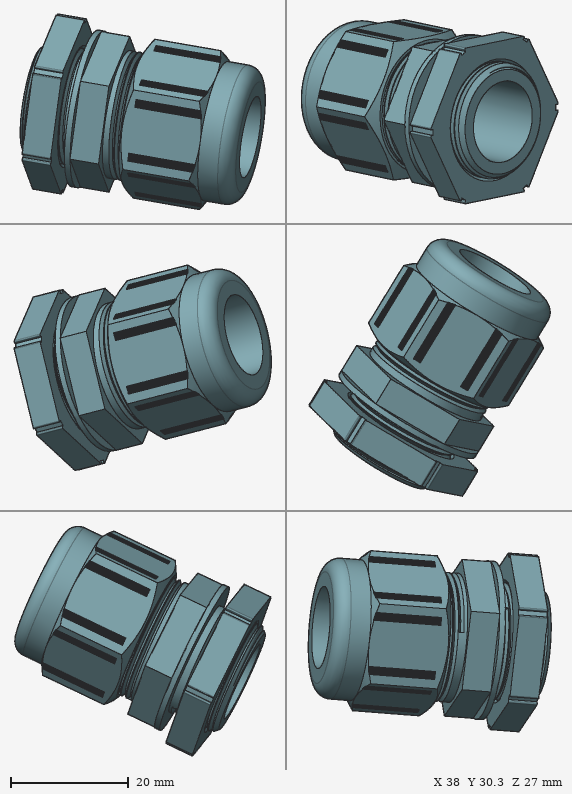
import cadquery as cq
import math


BORE_DIAMETER = 14.0
HEX_SIDES = 6
FLATS_TO_CORNERS = 1 / math.cos(math.pi / HEX_SIDES)

THREAD_PITCH = 1.0
THREAD_DEPTH = 0.74
THREAD_HALF_ANGLE = 30.0
THREAD_OVERRUN_ANGLE = 15.0
GROOVE_OVERSHOOT = 0.1
ENTRY_DIAMETER = 20.0
ENTRY_CHAMFER = 1.0
ENTRY_THREAD_TURNS = 9
ENTRY_THREAD_END = 8.1
NECK_DIAMETER = 22.0
NECK_THREAD_TURNS = 12
NECK_THREAD_START = 16.0

FLANGE_START = 9.0
FLANGE_THICKNESS = 1.0
FLANGE_DIAMETER = 27.0
BODY_HEX_LENGTH = 5.0
BODY_HEX_ACROSS_FLATS = 23.5
BODY_LENGTH = 30.0

LOCKNUT_START = 2.0
LOCKNUT_LENGTH = 5.0
LOCKNUT_ACROSS_FLATS = 27.0
LOCKNUT_COUNTERSINK = 0.5
NOTCH_WIDTH = 1.0
NOTCH_FLOOR_RADIUS = 14.6
NOTCH_LIP_RADIUS = 0.2

DOME_START = 18.0
DOME_HEX_END = 32.0
DOME_END = 38.0
DOME_ACROSS_FLATS = 24.0
DOME_ROUNDING = 2.5
DOME_FACE_DIAMETER = 23.0
HEX_CHAMFER_ANGLE = 30.0
GRIP_START = 20.0
GRIP_OFFSET = 4.675
GRIP_GROOVES = 5
GRIP_GROOVE_WIDTH = 0.15
GRIP_GROOVE_SPACING = 0.30
GRIP_GROOVE_DEPTH = 0.10


def cylinder(start, end, diameter):
    """Round bar along X."""
    return cq.Workplane("YZ", origin=(start, 0, 0)).circle(diameter / 2).extrude(end - start)


def hexagon(start, end, across_flats):
    """Hexagonal bar along X with corners on +Y and -Y and flats on top and bottom."""
    corner_diameter = across_flats * FLATS_TO_CORNERS
    return cq.Workplane("YZ", origin=(start, 0, 0)).polygon(HEX_SIDES, corner_diameter).extrude(end - start)


def revolved(points):
    """Solid turned about X from a closed (x, radius) outline."""
    return cq.Workplane("XY").polyline(points).close().revolve(360, (0, 0), (1, 0))


def thread_groove(start, turns, diameter, start_angle):
    """Right-hand helical V groove along X; start_angle is in degrees from +Y towards +Z."""
    root_radius = diameter / 2 - THREAD_DEPTH
    tool_depth = THREAD_DEPTH + GROOVE_OVERSHOOT
    half_width = tool_depth * math.tan(math.radians(THREAD_HALF_ANGLE))
    helix = cq.Wire.makeHelix(THREAD_PITCH, turns * THREAD_PITCH, root_radius)
    groove = (
        cq.Workplane("XZ")
        .moveTo(root_radius, 0)
        .lineTo(root_radius + tool_depth, half_width)
        .lineTo(root_radius + tool_depth, -half_width)
        .close()
        .sweep(cq.Workplane(obj=helix), isFrenet=True)
    )
    angle = math.radians(start_angle)
    start_direction = (0, math.cos(angle), math.sin(angle))
    axis_frame = cq.Plane(origin=(start, 0, 0), xDir=start_direction, normal=(1, 0, 0))
    return groove.val().moved(axis_frame.location)


def make_body():
    flange_end = FLANGE_START + FLANGE_THICKNESS
    hex_end = flange_end + BODY_HEX_LENGTH

    entry = cylinder(0, FLANGE_START, ENTRY_DIAMETER).faces("<X").chamfer(ENTRY_CHAMFER)
    entry_thread_start = ENTRY_THREAD_END - ENTRY_THREAD_TURNS * THREAD_PITCH
    entry = entry.cut(
        thread_groove(entry_thread_start, ENTRY_THREAD_TURNS, ENTRY_DIAMETER, THREAD_OVERRUN_ANGLE)
    )

    neck = cylinder(hex_end, BODY_LENGTH, NECK_DIAMETER)
    neck = neck.cut(
        thread_groove(NECK_THREAD_START, NECK_THREAD_TURNS, NECK_DIAMETER, -THREAD_OVERRUN_ANGLE)
    )

    flange = cylinder(FLANGE_START, flange_end, FLANGE_DIAMETER)
    grip_hex = hexagon(flange_end, hex_end, BODY_HEX_ACROSS_FLATS)
    body = entry.union(flange).union(grip_hex).union(neck)
    return body.cut(cylinder(0, BODY_LENGTH, BORE_DIAMETER))


def make_locknut():
    end = LOCKNUT_START + LOCKNUT_LENGTH
    nut = hexagon(LOCKNUT_START, end, LOCKNUT_ACROSS_FLATS)

    corner_radius = LOCKNUT_ACROSS_FLATS * FLATS_TO_CORNERS / 2
    notch_depth = corner_radius - NOTCH_FLOOR_RADIUS
    notches = (
        cq.Workplane("YZ", origin=(LOCKNUT_START, 0, 0))
        .polarArray(NOTCH_FLOOR_RADIUS + notch_depth / 2, 0, 360, HEX_SIDES)
        .rect(notch_depth, NOTCH_WIDTH)
        .extrude(LOCKNUT_LENGTH)
    )
    nut = nut.cut(notches)
    lip_limit = (NOTCH_FLOOR_RADIUS + corner_radius) / 2
    lip_edges = [
        edge
        for edge in nut.edges("|X").vals()
        if math.hypot(edge.Center().y, edge.Center().z) > lip_limit
    ]
    nut = nut.newObject(lip_edges).fillet(NOTCH_LIP_RADIUS)

    bore_radius = ENTRY_DIAMETER / 2
    mouth_radius = bore_radius + LOCKNUT_COUNTERSINK
    bore = revolved([
        (LOCKNUT_START, 0),
        (LOCKNUT_START, mouth_radius),
        (LOCKNUT_START + LOCKNUT_COUNTERSINK, bore_radius),
        (end - LOCKNUT_COUNTERSINK, bore_radius),
        (end, mouth_radius),
        (end, 0),
    ])
    return nut.cut(bore)


def make_dome_nut():
    cone_slope = math.tan(math.radians(HEX_CHAMFER_ANGLE))
    corner_radius = DOME_ACROSS_FLATS * FLATS_TO_CORNERS / 2
    inner_chamfer = (corner_radius - DOME_FACE_DIAMETER / 2) * cone_slope
    outer_chamfer = (corner_radius - DOME_ACROSS_FLATS / 2) * cone_slope
    trim = revolved([
        (DOME_START, 0),
        (DOME_START, DOME_FACE_DIAMETER / 2),
        (DOME_START + inner_chamfer, corner_radius),
        (DOME_HEX_END - outer_chamfer, corner_radius),
        (DOME_HEX_END, DOME_ACROSS_FLATS / 2),
        (DOME_HEX_END, 0),
    ])
    nut = hexagon(DOME_START, DOME_HEX_END, DOME_ACROSS_FLATS).intersect(trim)

    groove_length = DOME_HEX_END - GRIP_START
    groove_centers = [
        (GRIP_START + groove_length / 2, side * GRIP_OFFSET + step * GRIP_GROOVE_SPACING)
        for side in (-1, 1)
        for step in range(-(GRIP_GROOVES // 2), GRIP_GROOVES // 2 + 1)
    ]
    grooves = (
        cq.Workplane("XY", origin=(0, 0, DOME_ACROSS_FLATS / 2))
        .pushPoints(groove_centers)
        .rect(groove_length, GRIP_GROOVE_WIDTH)
        .extrude(-GRIP_GROOVE_DEPTH)
    )
    for flat in range(HEX_SIDES):
        nut = nut.cut(grooves.rotate((0, 0, 0), (1, 0, 0), flat * 360 / HEX_SIDES))

    dome = cylinder(DOME_HEX_END, DOME_END, DOME_ACROSS_FLATS).faces(">X").edges().fillet(DOME_ROUNDING)
    nut = nut.union(dome)
    nut = nut.cut(cylinder(DOME_START, BODY_LENGTH, NECK_DIAMETER))
    return nut.cut(cylinder(BODY_LENGTH, DOME_END, BORE_DIAMETER))


body = make_body()
locknut = make_locknut()
dome_nut = make_dome_nut()
result = cq.Compound.makeCompound([body.val(), locknut.val(), dome_nut.val()])